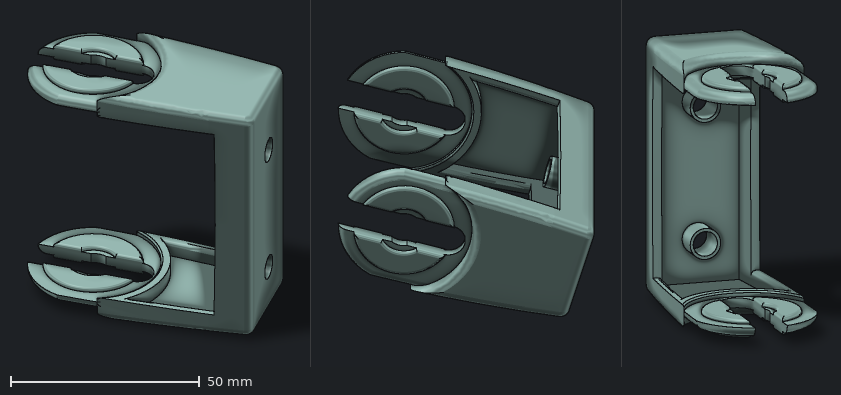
import cadquery as cq
import math


total_height = 71.85
half_height = total_height / 2
back_x = 48.9
side_bend_x = 37.15
side_bend_half_width = 15.1
back_half_width = 13.95
wall = 2.5
back_wall = 2.45
roof = 2.95
edge_round = 2.45

crest_x = 14.7
top_slope = 0.028
rim_z = 28.8
rim_round = 1.2
recess_round = 0.5
spine_edge_x = 38.6
spine_bow = 0.3

nose_radius = 17.45
nose_half_width = 33.7 / 2
nose_corner_x = -math.sqrt(nose_radius**2 - nose_half_width**2)
fork_recess_radius = 17.95
plate_bottom_z = 30.3
plate_top_z = 33.0
plate_round = 2.45
plate_overlap = 0.7
slot_width = 8.85
slot_end_x = 16.7

disc_radius = 13.4
disc_outer_rise = 1.3
disc_inner_rise = 1.15
disc_round = 1.0
seat_radius = 6.5
seat_depth = 1.1
bore_radius = 4.9

boss_heights = (16.5, -20.85)
boss_radius = 4.25
screw_hole_radius = 6.7 / 2
boss_front_x = 39.5

cavity_top_z = half_height - roof
cavity_back_x = back_x - back_wall
reach = 2 * total_height
pick_margin = 0.1


def side_half_width(x):
    """Half width of the gently curved side, which runs parallel to X at the nose corner."""
    fall = nose_half_width - side_bend_half_width
    share = (x - nose_corner_x) / (side_bend_x - nose_corner_x)
    return nose_half_width - fall * share**2


def outline():
    """Plan outline of the whole bracket, without the slot."""
    curve_x = (nose_corner_x + side_bend_x) / 2
    curve_y = side_half_width(curve_x)
    return (
        cq.Workplane("XY")
        .moveTo(nose_corner_x, -nose_half_width)
        .threePointArc((curve_x, -curve_y), (side_bend_x, -side_bend_half_width))
        .lineTo(back_x, -back_half_width)
        .lineTo(back_x, back_half_width)
        .lineTo(side_bend_x, side_bend_half_width)
        .threePointArc((curve_x, curve_y), (nose_corner_x, nose_half_width))
        .threePointArc((-nose_radius, 0), (nose_corner_x, -nose_half_width))
        .close()
    )


def cylinder(radius, bottom_z, top_z):
    """Upright cylinder on the fork axis."""
    return cq.Workplane("XY").workplane(offset=bottom_z).circle(radius).extrude(top_z - bottom_z)


def shell_half():
    """Upper half of the outer shell: solid, rounded outside and recessed at the fork."""
    def top_z(x):
        return half_height - top_slope * (x - crest_x)

    sloped_block = (
        cq.Workplane("XZ")
        .polyline([
            (-nose_radius, 0),
            (back_x, 0),
            (back_x, top_z(back_x)),
            (-nose_radius, top_z(-nose_radius)),
        ])
        .close()
        .extrude(nose_half_width, both=True)
    )
    body = outline().extrude(total_height).intersect(sloped_block)
    body = body.cut(cylinder(fork_recess_radius, 0, total_height))
    body = body.edges("|Z and >X").fillet(edge_round)
    return body.faces(">Z").edges().fillet(edge_round)


def hollow_half(body):
    """Open the shell: cavity, gap between the arms and rounded inner rim."""
    cavity = (
        outline().offset2D(-wall).extrude(cavity_top_z)
        .intersect(cq.Workplane("XY").box(2 * cavity_back_x, reach, reach))
        .cut(cylinder(fork_recess_radius + wall, 0, total_height))
    )
    gap = (
        cq.Workplane("XZ")
        .moveTo(-nose_radius, -rim_z)
        .lineTo(spine_edge_x, -rim_z)
        .threePointArc((spine_edge_x + spine_bow, 0), (spine_edge_x, rim_z))
        .lineTo(-nose_radius, rim_z)
        .close()
        .extrude(reach, both=True)
    )
    body = body.cut(cavity).cut(gap)
    box_low = rim_z - pick_margin
    box_high = rim_z + pick_margin
    cavity_sides = cq.selectors.BoxSelector(
        (fork_recess_radius + wall, -back_half_width, box_low),
        (spine_edge_x - pick_margin, back_half_width, box_high),
    )
    recess_mouth = cq.selectors.BoxSelector(
        (0, -slot_width, box_low), (crest_x, slot_width, box_high)
    )
    body = body.edges(cavity_sides).fillet(rim_round)
    return body.edges(recess_mouth).fillet(recess_round)


def slot():
    """Open slot running in from the nose to a round end."""
    end_radius = slot_width / 2
    end_centre_x = slot_end_x - end_radius
    return (
        cq.Workplane("XY")
        .moveTo(-2 * nose_radius, -end_radius)
        .lineTo(end_centre_x, -end_radius)
        .threePointArc((slot_end_x, 0), (end_centre_x, end_radius))
        .lineTo(-2 * nose_radius, end_radius)
        .close()
        .extrude(total_height)
    )


def fork_plate():
    """Thin plate carrying the slot, rounded along its outer top edge."""
    plate = outline().extrude(plate_top_z - plate_bottom_z)
    plate = plate.faces(">Z").edges().fillet(plate_round).translate((0, 0, plate_bottom_z))
    return plate.intersect(cylinder(fork_recess_radius + plate_overlap, 0, total_height))


def seat_tool(face_z):
    """Shallow round recess below face_z that flares out to the face in a quarter round."""
    flare_z = face_z - disc_round
    diagonal = disc_round * math.sqrt(0.5)
    flare_radius = seat_radius + disc_round
    return (
        cq.Workplane("XZ")
        .moveTo(0, face_z - seat_depth)
        .lineTo(seat_radius, face_z - seat_depth)
        .lineTo(seat_radius, flare_z)
        .threePointArc((flare_radius - diagonal, flare_z + diagonal), (flare_radius, face_z))
        .lineTo(0, face_z)
        .close()
        .revolve(360, (0, 0), (0, 1))
    )


def raised_disc():
    """Disc standing proud of both plate faces, rounded and seated around the bore."""
    bottom_z = plate_bottom_z - disc_inner_rise
    top_z = plate_top_z + disc_outer_rise
    height = top_z - bottom_z
    disc = cylinder(disc_radius, bottom_z, top_z).faces("<Z or >Z").edges().fillet(disc_round)
    bar = (
        cq.Workplane("XY", origin=(0, slot_width / 2, bottom_z))
        .box(4 * disc_radius, 2 * disc_radius, height, centered=(True, False, False))
        .edges("|X and <Y")
        .fillet(disc_round)
    )
    disc = disc.intersect(bar.union(bar.mirror("XZ")))
    upper_seat = seat_tool(top_z)
    lower_seat = upper_seat.mirror("XY", (0, 0, (bottom_z + top_z) / 2))
    return disc.cut(upper_seat).cut(lower_seat)


def fork():
    """Slotted plate with its raised disc and central bore."""
    plate = fork_plate().cut(slot())
    return plate.union(raised_disc()).cut(cylinder(bore_radius, 0, total_height))


def screw_tube(radius, z, front_x):
    """Cylinder along X from front_x to the outer back face."""
    return (
        cq.Workplane("YZ", origin=(front_x, 0, z)).circle(radius).extrude(back_x - front_x)
    )


upper_half = hollow_half(shell_half()).union(fork())
result = upper_half.union(upper_half.mirror("XY"))
for boss_z in boss_heights:
    boss = screw_tube(boss_radius, boss_z, boss_front_x)
    result = result.union(boss).cut(screw_tube(screw_hole_radius, boss_z, boss_front_x))